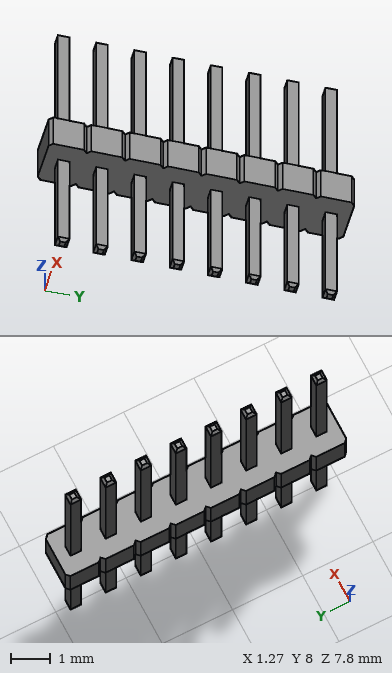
import cadquery as cq

pin_count = 8
pitch = 1.0
housing_width = 1.27
housing_height = 1.0
corner_cut = 0.1
pin_side = 0.3
pin_above = 3.8
pin_below = 3.0
tip_chamfer = 0.08

pin_length = pin_below + housing_height + pin_above
first_pin_y = -(pin_count - 1) * pitch / 2
pin_rows = [first_pin_y + i * pitch for i in range(pin_count)]


def housing_block():
    """One pin's share of the housing; cut corners form V notches between neighbours."""
    return (
        cq.Workplane("XY")
        .box(housing_width, pitch, housing_height, centered=(True, True, False))
        .edges("|Z")
        .chamfer(corner_cut)
    )


def pin():
    """Square pin standing through the housing, chamfered around both tips."""
    return (
        cq.Workplane("XY", origin=(0, 0, -pin_below))
        .box(pin_side, pin_side, pin_length, centered=(True, True, False))
        .faces("<Z or >Z")
        .chamfer(tip_chamfer)
    )


position = housing_block().union(pin())
result = cq.Workplane("XY")
for y in pin_rows:
    result = result.union(position.translate((0, y, 0)))
result = result.clean()